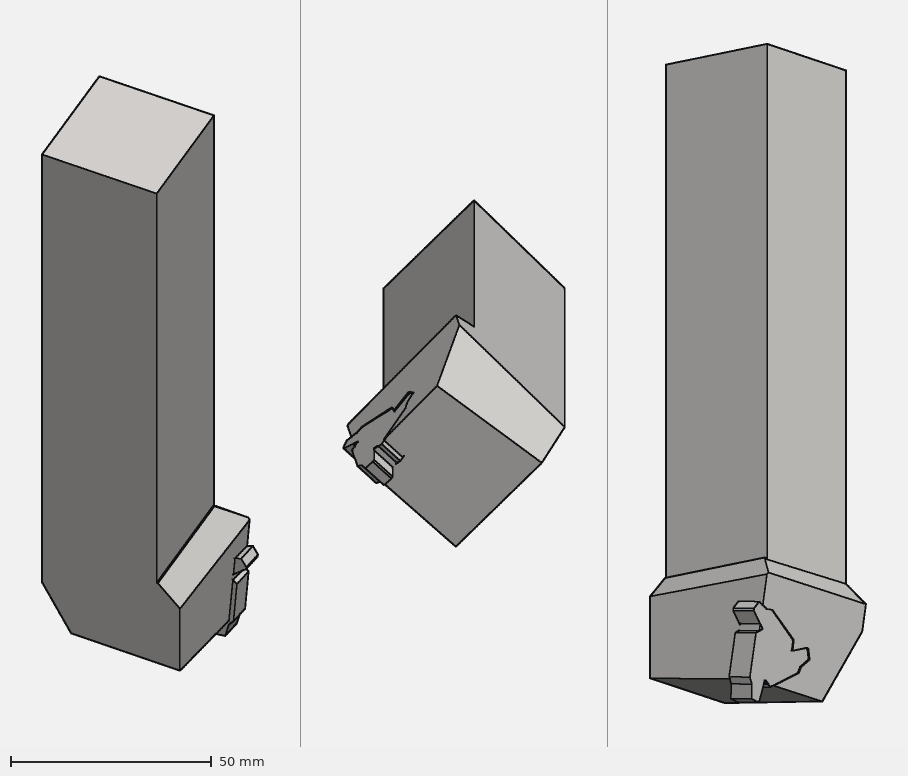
import cadquery as cq
import math

total_height = 170.8
shank_side = 32.0
head_width_front = 38.5
head_width_back = 39.1
head_depth = 38.3
shoulder_z = 32.0
side_shoulder_z = 31.5
chamfer_start_z = 25.1
chamfer_angle = 30.0
head_front_bottom_z = 11.1
head_back_bottom_y = 33.6
lean_angle = 10.0
plan_skew = 1.0
spare = 17.0

insert_center_x = 32.5
insert_center_z = 13.0
insert_thickness = 6.7
insert_top_y = 32.0
edge_count = 3

lean = math.tan(math.radians(lean_angle))
head_back_bottom_z = head_front_bottom_z - lean * head_back_bottom_y

insert_third = [
    (1.7, -7.2),
    (2.7, -12.8),
    (3.2, -13.2),
    (5.8, -12.8),
    (6.5, -9.2),
    (7.7, -7.7),
    (7.7, 3.6),
]


def make_shank():
    height = total_height - shoulder_z
    return cq.Workplane("XY").box(shank_side, shank_side, height, centered=False).translate((0, 0, shoulder_z))


def make_head():
    """Front outline trimmed by the leaning side outline and the tapered plan outline."""
    side_step = head_width_back - shank_side
    chamfer_run = chamfer_start_z * math.tan(math.radians(chamfer_angle))
    front_outline = [
        (0, chamfer_start_z),
        (chamfer_run, 0),
        (head_width_back, 0),
        (head_width_back, side_shoulder_z),
        (shank_side, side_shoulder_z + side_step),
        (0, side_shoulder_z + side_step),
    ]
    head = cq.Workplane("XZ").polyline(front_outline).close().extrude(-(head_depth + spare))

    back_step = head_depth - shank_side
    side_outline = [
        (-spare, head_front_bottom_z + lean * spare),
        (head_back_bottom_y, head_back_bottom_z),
        (head_depth, shoulder_z),
        (shank_side, shoulder_z + back_step),
        (-spare, shoulder_z + back_step),
    ]
    side_trim = cq.Workplane("YZ").polyline(side_outline).close().extrude(head_width_back + 2 * spare)
    side_trim = side_trim.translate((-spare, 0, 0)).rotate((0, 0, 0), (0, 0, 1), -plan_skew)

    plan_outline = [(0, 0), (head_width_front, 0), (head_width_back, head_depth), (0, head_depth)]
    plan_trim = cq.Workplane("XY").polyline(plan_outline).close().extrude(total_height)
    return head.intersect(side_trim).intersect(plan_trim)


def insert_outline():
    points = []
    for index in range(edge_count):
        turn = math.radians(index * 360.0 / edge_count)
        for x, z in insert_third:
            points.append((
                x * math.cos(turn) - z * math.sin(turn),
                x * math.sin(turn) + z * math.cos(turn),
            ))
    return points


def make_insert_prism(extra_above):
    """Three-tipped prism that leans with the rake face, optionally extended beyond its top face."""
    top_plane = cq.Plane(
        origin=(insert_center_x, insert_top_y + lean * insert_center_z, insert_center_z),
        xDir=(1, 0, 0),
        normal=(0, -1, lean),
    )
    prism = cq.Workplane(top_plane).workplane(offset=-extra_above).polyline(insert_outline()).close()
    return prism.extrude(insert_thickness + extra_above)


insert = make_insert_prism(0)

holder = make_shank().union(make_head()).cut(make_insert_prism(spare))

result = cq.Compound.makeCompound([holder.val(), insert.val()])